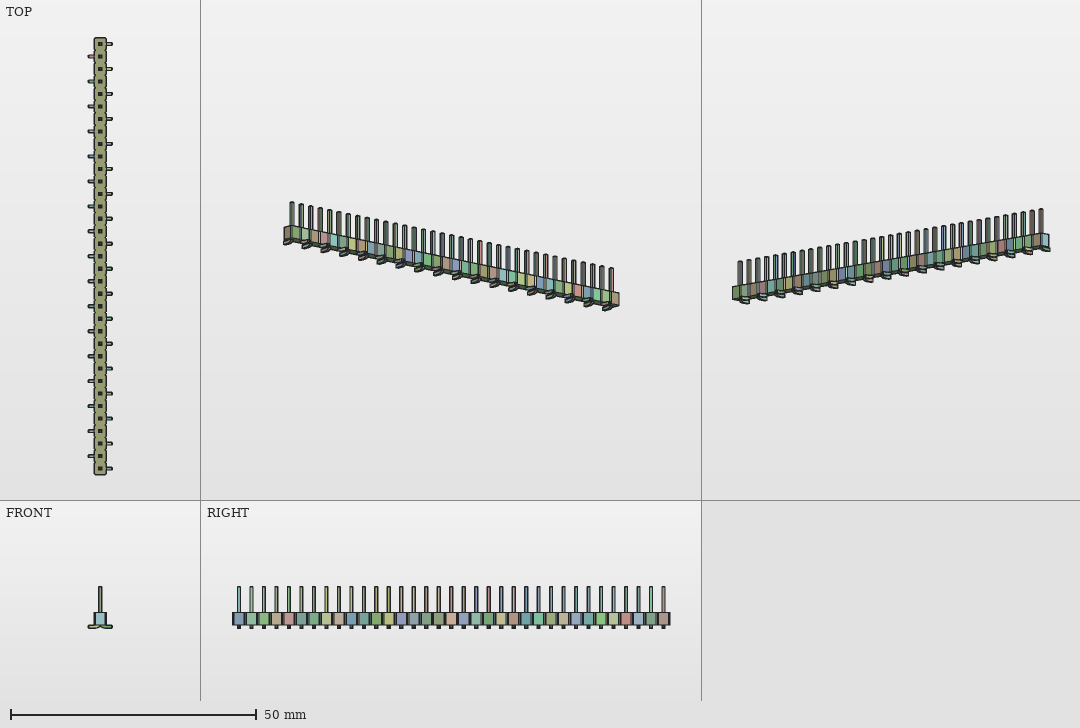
import cadquery as cq

total_length = 88.9
total_width = 5.0
total_height = 8.5

pin_count = 35
pitch = total_length / pin_count
pin_side = 0.64
bend_radius = 1.0
tip_chamfer = 0.16

body_width = 2.5
body_bottom = pin_side
body_height = 2.6
cell_chamfer = 0.25


def make_cell():
    """One block of the body; neighbouring chamfers leave V notches on both sides."""
    return (
        cq.Workplane("XY", origin=(0, 0, body_bottom))
        .rect(body_width, pitch)
        .extrude(body_height)
        .edges("|Z")
        .chamfer(cell_chamfer)
    )


def make_pin():
    """An upright pin that bends at the bottom into a flat lead towards +X."""
    lead_level = pin_side / 2
    centreline = (
        cq.Workplane("XZ")
        .moveTo(0, total_height)
        .lineTo(0, lead_level + bend_radius)
        .tangentArcPoint((bend_radius, lead_level), relative=False)
        .lineTo(total_width / 2, lead_level)
    )
    return (
        cq.Workplane("XY", origin=(0, 0, total_height))
        .rect(pin_side, pin_side)
        .sweep(centreline)
        .faces(">Z or >X")
        .chamfer(tip_chamfer)
    )


cell = make_cell()
right_pin = make_pin()
left_pin = right_pin.mirror("YZ")

result = cq.Workplane("XY")
for index in range(pin_count):
    y = (index - (pin_count - 1) / 2) * pitch
    pin = right_pin if index % 2 == 0 else left_pin
    result = result.union(cell.union(pin).translate((0, y, 0)))